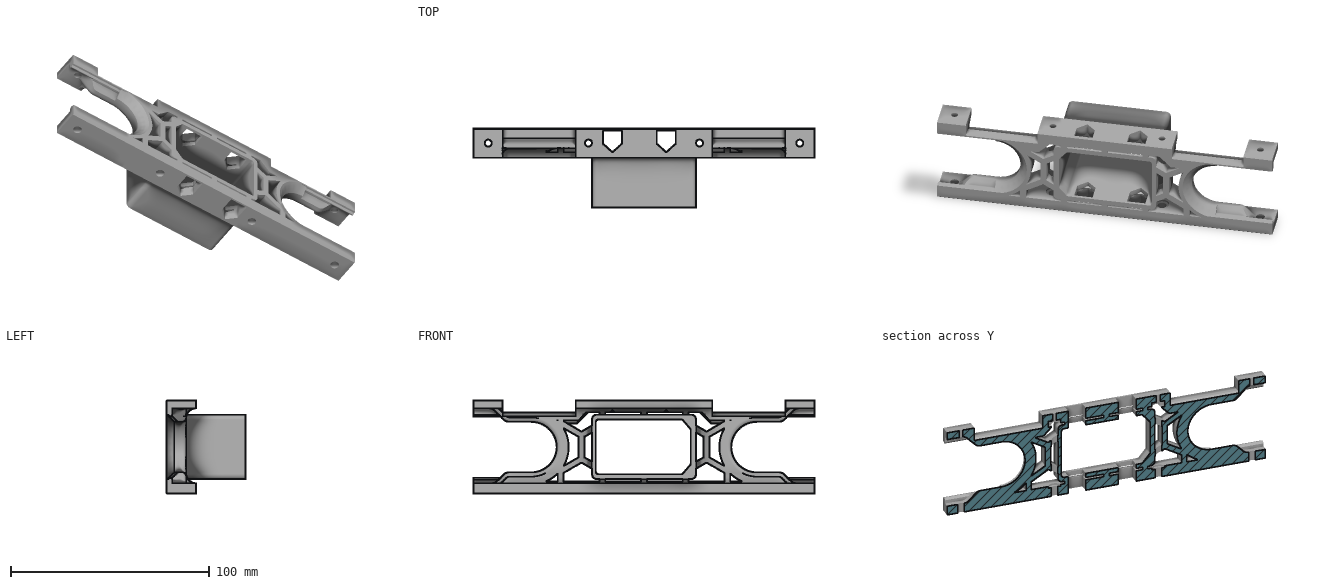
import cadquery as cq
import math

LENGTH = 171.95
HEIGHT = 47.0
FLANGE_DEPTH = 15.0
TOP_FLANGE = 4.1
BOTTOM_FLANGE = 5.2
WEB_DEPTH = 10.0
COVE_RADIUS = 5.0
BACK_CHAMFER = 0.5
FLANGE_UNDERSIDE = HEIGHT - TOP_FLANGE
OVERSHOOT = 10.0

SLOT_X = -56.7
SLOT_Z = 23.4
SLOT_RADIUS = 12.65
SLOT_FLARE_X = -69.6
FLARE_ROUND = 4.0
RIM_MARGIN = 0.05
SLOT_EDGE_ROUND = 2.2
LIP_DEPTH = 3.1
LIP_OFFSET = 15.4
LIP_CHAMFER = 1.0
LIP_BACK_BEVEL = 0.8
LIP_BEVEL_START = 1.0
CONE_WIDENING = 4.1

NOTCH_START = 34.5
NOTCH_END = 71.2
NOTCH_Z = 40.9
NOTCH_STEP_DEPTH = 5.1
NOTCH_FLOOR_Z = 38.85
NOTCH_BEVEL = 1.3

HEX_PITCH = 21.0
STRUT_WIDTH = 3.1
RING_RADIUS = 18.8
OPENING_FLOOR_Z = 6.1
OPENING_TOP_Z = NOTCH_Z
BRACE_TOP_X = 28.2
BRACE_Z = 35.2
OPENING_EDGE_BEVEL = 1.8

TUBE_DEPTH = 40.0
TUBE_HALF_WIDTH = 26.25
TUBE_BOTTOM_Z = 7.25
TUBE_TOP_Z = 39.8
TUBE_ROUND = 2.5
BORE_LEFT = -24.2
BORE_RIGHT = 23.5
BORE_BOTTOM_Z = 9.8
BORE_TOP_Z = 37.25
BORE_CHAMFER_X = 4.2
BORE_CHAMFER_Z = 4.9
BORE_ROUND = 1.2

HOLE_DEPTH = 7.5
END_HOLE_XS = (-78.5, 78.5)
INNER_HOLE_XS = (-28.0, 28.0)
TOP_HOLE_DIAMETER = 3.4
LOWER_HOLE_DIAMETER = 4.4
CLEARANCE_RADIUS = 3.6
CLEARANCE_HEIGHT = 3.0
WINDOW_XS = (-15.9, 11.2)
WINDOW_WIDTH = 9.4
WINDOW_BACK = 1.4
WINDOW_SHOULDER = 7.8
WINDOW_TIP = 12.1
LOWER_WINDOW_EXTENSION = 1.9


def along_depth(outline, start, end):
    """Extrude an outline drawn in X and Z between two depths."""
    return outline.extrude(end - start).translate((0, -start, 0))


def along_x(points, x_start, x_end):
    """Extrude a polygon of (depth, z) points along X."""
    section = cq.Workplane("YZ").polyline([(-d, z) for d, z in points]).close()
    return section.extrude(x_end - x_start).translate((x_start, 0, 0))


def block(x0, x1, depth0, depth1, z0, z1):
    size = (x1 - x0, depth1 - depth0, z1 - z0)
    return cq.Workplane("XY").box(*size, centered=False).translate((x0, -depth1, z0))


def both_ends(shape):
    return shape.union(shape.mirror("YZ"))


def channel():
    """C-shaped section with hollow corners, over the full length."""
    bend = COVE_RADIUS * (1 - math.sqrt(0.5))
    web, tip = -WEB_DEPTH, -FLANGE_DEPTH
    low, high = BOTTOM_FLANGE, FLANGE_UNDERSIDE
    section = (
        cq.Workplane("YZ")
        .moveTo(0, BACK_CHAMFER)
        .lineTo(-BACK_CHAMFER, 0)
        .lineTo(tip, 0)
        .lineTo(tip, low)
        .threePointArc((web - bend, low + bend), (web, low + COVE_RADIUS))
        .lineTo(web, high - COVE_RADIUS)
        .threePointArc((web - bend, high - bend), (tip, high))
        .lineTo(tip, HEIGHT)
        .lineTo(-BACK_CHAMFER, HEIGHT)
        .lineTo(0, HEIGHT - BACK_CHAMFER)
        .close()
    )
    return section.extrude(LENGTH).translate((-LENGTH / 2, 0, 0))


def notch_cutter():
    """Material removed above the thin top beam, with a beveled and coved step."""
    bevel_end = NOTCH_STEP_DEPTH + NOTCH_BEVEL
    bevel_z = NOTCH_Z - NOTCH_BEVEL
    drop = bevel_z - NOTCH_FLOOR_Z
    radius = drop / (1 - math.sqrt(0.5))
    floor_start = bevel_end + radius * math.sqrt(0.5)
    mid = math.radians(22.5)
    mid_depth = floor_start - radius * math.sin(mid)
    mid_z = NOTCH_FLOOR_Z + radius * (1 - math.cos(mid))
    top = HEIGHT + OVERSHOOT
    front = FLANGE_DEPTH + OVERSHOOT
    section = (
        cq.Workplane("YZ")
        .moveTo(OVERSHOOT, NOTCH_Z - BACK_CHAMFER)
        .lineTo(0, NOTCH_Z - BACK_CHAMFER)
        .lineTo(-BACK_CHAMFER, NOTCH_Z)
        .lineTo(-NOTCH_STEP_DEPTH, NOTCH_Z)
        .lineTo(-bevel_end, bevel_z)
        .threePointArc((-mid_depth, mid_z), (-floor_start, NOTCH_FLOOR_Z))
        .lineTo(-front, NOTCH_FLOOR_Z)
        .lineTo(-front, top)
        .lineTo(OVERSHOOT, top)
        .close()
    )
    return section.extrude(NOTCH_END - NOTCH_START).translate((-NOTCH_END, 0, 0))


def slot_cutter():
    """U-shaped slot widening to the end pocket, with a rounded front edge."""
    slot_top = SLOT_Z + SLOT_RADIUS
    slot_bottom = SLOT_Z - SLOT_RADIUS
    end = -LENGTH / 2 - OVERSHOOT
    flare_top = SLOT_FLARE_X - (FLANGE_UNDERSIDE - slot_top)
    flare_bottom = SLOT_FLARE_X - (slot_bottom - BOTTOM_FLANGE)
    outline = (
        cq.Workplane("XZ")
        .moveTo(end, FLANGE_UNDERSIDE)
        .lineTo(flare_top, FLANGE_UNDERSIDE)
        .lineTo(SLOT_FLARE_X, slot_top)
        .lineTo(SLOT_X, slot_top)
        .threePointArc((SLOT_X + SLOT_RADIUS, SLOT_Z), (SLOT_X, slot_bottom))
        .lineTo(SLOT_FLARE_X, slot_bottom)
        .lineTo(flare_bottom, BOTTOM_FLANGE)
        .lineTo(end, BOTTOM_FLANGE)
        .close()
    )
    front = FLANGE_DEPTH + OVERSHOOT
    corners = cq.selectors.BoxSelector(
        (flare_top - 1, -front - 1, 0), (SLOT_FLARE_X + 1, 1, HEIGHT)
    )
    slot = along_depth(outline, LIP_DEPTH, front).edges("|Y").edges(corners).fillet(FLARE_ROUND)
    rim_wire = slot.faces("<Y").wires().toPending().offset2D(SLOT_EDGE_ROUND + RIM_MARGIN)
    cutter = slot.union(rim_wire.extrude(WEB_DEPTH - front))
    rim_face = cutter.faces("+Y").faces("<Y").val()
    cutter = cutter.newObject(rim_face.innerWires()[0].Edges()).fillet(SLOT_EDGE_ROUND)
    pocket_height = block(end, 0, 0, front, BOTTOM_FLANGE, FLANGE_UNDERSIDE)
    return cutter.intersect(pocket_height)


def slot_back_cutter():
    """Opening behind the slot: stepped along the straight part, tapered at the round end."""
    end = -LENGTH / 2 - OVERSHOOT
    top, bottom = SLOT_Z + LIP_OFFSET, SLOT_Z - LIP_OFFSET
    back_top, back_bottom = top + LIP_BACK_BEVEL, bottom - LIP_BACK_BEVEL
    taper = LIP_OFFSET - SLOT_RADIUS
    straight = along_x(
        [
            (-OVERSHOOT, back_bottom),
            (LIP_BEVEL_START, back_bottom),
            (LIP_BEVEL_START + LIP_BACK_BEVEL, bottom),
            (LIP_DEPTH, bottom),
            (LIP_DEPTH + taper, bottom + taper),
            (LIP_DEPTH + taper, top - taper),
            (LIP_DEPTH, top),
            (LIP_BEVEL_START + LIP_BACK_BEVEL, top),
            (LIP_BEVEL_START, back_top),
            (-OVERSHOOT, back_top),
        ],
        end,
        SLOT_X,
    )
    lip_edge = along_x(
        [
            (LIP_DEPTH - LIP_CHAMFER, bottom),
            (LIP_DEPTH, bottom - LIP_CHAMFER),
            (LIP_DEPTH, top + LIP_CHAMFER),
            (LIP_DEPTH - LIP_CHAMFER, top),
        ],
        end,
        SLOT_FLARE_X - taper,
    )
    wide = SLOT_RADIUS + CONE_WIDENING
    half_section = [
        (0, OVERSHOOT),
        (wide, OVERSHOOT),
        (wide, 0),
        (SLOT_RADIUS, -CONE_WIDENING),
        (0, -CONE_WIDENING),
    ]
    cone = cq.Workplane("XY").polyline(half_section).close().revolve(360, (0, 0, 0), (0, 1, 0))
    cone = cone.translate((SLOT_X, 0, SLOT_Z))
    cone = cone.intersect(block(SLOT_X, 0, -OVERSHOOT, CONE_WIDENING, back_bottom, back_top))
    return straight.union(lip_edge).union(cone)


def opening_outline(widening):
    """Outline of the open part of the web, widened toward the beams and braces."""
    slope_x = BRACE_TOP_X + widening * math.tan(math.radians(22.5))
    brace_z = BRACE_Z + widening
    brace_x = slope_x + OPENING_TOP_Z - brace_z
    half = [
        (-slope_x, OPENING_TOP_Z),
        (-brace_x, brace_z),
        (SLOT_X, brace_z),
        (SLOT_X, OPENING_FLOOR_Z),
    ]
    mirrored = [(-x, z) for x, z in reversed(half)]
    return cq.Workplane("XZ").polyline(half + mirrored).close()


def opening_area(front):
    """Open part of the web: beveled toward the front, without the solid rings."""
    bevel = OPENING_EDGE_BEVEL
    bevel_start = WEB_DEPTH - bevel
    area = along_depth(opening_outline(0), 0, front)
    area = area.union(along_depth(opening_outline(bevel), WEB_DEPTH, front))
    narrow = opening_outline(0).wires().val().translate(cq.Vector(0, -bevel_start, 0))
    wide = opening_outline(bevel).wires().val().translate(cq.Vector(0, -WEB_DEPTH, 0))
    area = area.union(cq.Workplane(cq.Solid.makeLoft([narrow, wide], True)))
    ring = cq.Workplane("XZ").center(SLOT_X, SLOT_Z).circle(RING_RADIUS).extrude(front)
    return area.cut(both_ends(ring))


def honeycomb_cutter():
    """Hexagonal cells between struts, limited to the open part of the web."""
    front = FLANGE_DEPTH + OVERSHOOT
    row_spacing = HEX_PITCH * math.sqrt(3) / 2
    corner_radius = (HEX_PITCH - STRUT_WIDTH) / math.sqrt(3)
    angles = [math.radians(30 + 60 * i) for i in range(6)]
    corners = [(corner_radius * math.cos(a), corner_radius * math.sin(a)) for a in angles]
    cell = cq.Workplane("XZ").polyline(corners).close().extrude(front)
    cells = cq.Workplane("XZ")
    for row in (-1, 0, 1):
        shift = HEX_PITCH / 2 if row else 0
        for column in range(-3, 4):
            x = column * HEX_PITCH + shift
            cells = cells.add(cell.translate((x, 0, SLOT_Z + row * row_spacing)))
    return cells.combine().intersect(opening_area(front))


def tube():
    outer = block(-TUBE_HALF_WIDTH, TUBE_HALF_WIDTH, 0, TUBE_DEPTH, TUBE_BOTTOM_Z, TUBE_TOP_Z)
    return outer.edges("|Y").fillet(TUBE_ROUND)


def tube_bore():
    """Bore of the tube, with both corners on the right cut off."""
    chamfer_x = BORE_RIGHT - BORE_CHAMFER_X
    outline = cq.Workplane("XZ").polyline(
        [
            (BORE_LEFT, BORE_BOTTOM_Z),
            (chamfer_x, BORE_BOTTOM_Z),
            (BORE_RIGHT, BORE_BOTTOM_Z + BORE_CHAMFER_Z),
            (BORE_RIGHT, BORE_TOP_Z - BORE_CHAMFER_Z),
            (chamfer_x, BORE_TOP_Z),
            (BORE_LEFT, BORE_TOP_Z),
        ]
    )
    return outline.close().extrude(TUBE_DEPTH).edges("|Y").fillet(BORE_ROUND)


def vertical_hole(x, radius, z0, z1):
    circle = cq.Workplane("XY").center(x, -HOLE_DEPTH).circle(radius)
    return circle.extrude(z1 - z0).translate((0, 0, z0))


def window_cutter(x, extension, height):
    """Pointed five-sided window from the bottom up, its tip moved forward by the extension."""
    half = WINDOW_WIDTH / 2
    shoulder = WINDOW_SHOULDER + extension
    outline = [
        (x - half, -WINDOW_BACK),
        (x + half, -WINDOW_BACK),
        (x + half, -shoulder),
        (x, -WINDOW_TIP - extension),
        (x - half, -shoulder),
    ]
    return cq.Workplane("XY").polyline(outline).close().extrude(height)


body = channel()
for end_cutter in (notch_cutter(), slot_cutter(), slot_back_cutter()):
    body = body.cut(both_ends(end_cutter))
body = body.cut(honeycomb_cutter())
for hole_x in INNER_HOLE_XS:
    for clearance_z in (BOTTOM_FLANGE, FLANGE_UNDERSIDE - CLEARANCE_HEIGHT):
        clearance_end = clearance_z + CLEARANCE_HEIGHT
        body = body.cut(vertical_hole(hole_x, CLEARANCE_RADIUS, clearance_z, clearance_end))
body = body.union(tube()).cut(tube_bore())
for hole_x in END_HOLE_XS + INNER_HOLE_XS:
    body = body.cut(vertical_hole(hole_x, TOP_HOLE_DIAMETER / 2, FLANGE_UNDERSIDE, HEIGHT))
    body = body.cut(vertical_hole(hole_x, LOWER_HOLE_DIAMETER / 2, 0, FLANGE_UNDERSIDE))
for window_x in WINDOW_XS:
    body = body.cut(window_cutter(window_x, 0, HEIGHT))
    body = body.cut(window_cutter(window_x, LOWER_WINDOW_EXTENSION, SLOT_Z))

result = body